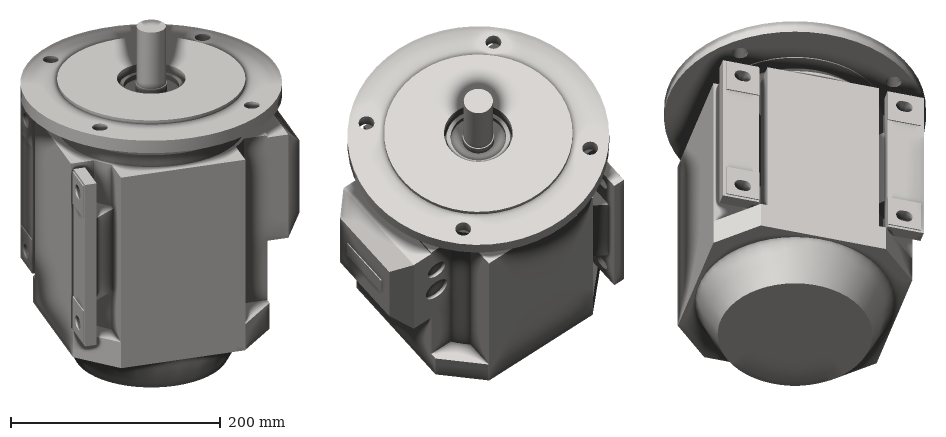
import cadquery as cq

total_height = 348.5
shaft_radius = 14.0
shoulder_radius = 15.0
shoulder_top = 288.2
flange_diameter = 250.0
flange_bottom = 275.3
flange_top = 288.5
spigot_radius = 90.0
spigot_top = 292.7
flange_pad_radius = 88.5
flange_pad_height = 1.0
flange_hole_diameter = 15.0
flange_hole_circle_radius = 107.7
flange_hole_count = 4
flange_hole_start_angle = 45

bore_radius = 32.8
seal_ring_radius = 30.3
seal_ring_top = 285.8
seal_radius = 26.5
seal_floor = 280.5

neck_radius = 53.5
cap_radius = 81.0
cap_fillet = 5.2
cap_bottom = 255.8
cap_top = 270.5
neck_fillet = flange_bottom - flange_pad_height - cap_top
ring_radius = 90.3

frame_half_width = 98.5
frame_bottom = 40.0
frame_top = 243.3
base_top = 67.5
base_chamfer = 36.5
side_block_half_width = 62.5
front_block_half_width = 55.5
core_radius = 93.5

cowl_bottom_radius = 74.0
cowl_top_radius = 95.0

foot_outer_x = 99.5
foot_inner_x = 63.8
foot_back_y = -87.0
foot_bottom = 69.5
foot_top = 241.5
pad_width = 32.8
pad_height = 34.0
pad_thickness = 1.0
pad_margin = 2.5
slot_shift = 3.0
slot_length = 16.5
slot_width = 13.0
web_bottom = 111.5
web_top = 199.0
web_foot_outer_x = 91.3
web_frame_outer_x = 75.0
web_inner_y = -76.5

terminal_bottom = 130.7
terminal_top = 240.8
terminal_shoulder_y = 119.5
terminal_chamfer = 16.7
cover_y = terminal_shoulder_y + terminal_chamfer
plate_width = 53.5
plate_height = 20.2
plate_thickness = 0.87
plate_center_z = 185.5
entry_center_y = 92.5
entry_depth = 3.5
cable_entries = [
    (10.5, 207.7),
    (13.0, 174.0),
]


def disc(radius, bottom, top):
    return cq.Workplane("XY").workplane(offset=bottom).circle(radius).extrude(top - bottom)


def block(x_range, y_range, z_range):
    size = [high - low for low, high in (x_range, y_range, z_range)]
    return cq.Workplane("XY").box(*size, centered=False).translate((x_range[0], y_range[0], z_range[0]))


def centered_block(half_x, half_y, bottom, top):
    return block((-half_x, half_x), (-half_y, half_y), (bottom, top))


def make_frame():
    """Chamfered square base below a round core with two crossing flat-faced blocks."""
    base = centered_block(frame_half_width, frame_half_width, frame_bottom, base_top)
    base = base.edges("|Z").chamfer(base_chamfer)
    side_block = centered_block(frame_half_width, side_block_half_width, frame_bottom, frame_top)
    front_block = centered_block(front_block_half_width, frame_half_width, frame_bottom, frame_top)
    core = disc(core_radius, frame_bottom, frame_top)
    return base.union(side_block).union(front_block).union(core)


def make_cowl():
    profile = [(0, 0), (cowl_bottom_radius, 0), (cowl_top_radius, frame_bottom), (0, frame_bottom)]
    return cq.Workplane("XZ").polyline(profile).close().revolve(360, (0, 0), (0, 1))


def make_end_shield():
    """Ring, rounded cap and filleted neck leading up to the flange."""
    cap = disc(cap_radius, cap_bottom, cap_top).faces(">Z").edges().fillet(cap_fillet)
    neck = disc(neck_radius, cap_top, flange_bottom)
    cap_and_neck = cap.union(neck)
    neck_foot = cap_and_neck.faces(">Z[-2]").edges(cq.selectors.RadiusNthSelector(0))
    cap_and_neck = neck_foot.fillet(neck_fillet)
    return cap_and_neck.union(disc(ring_radius, frame_top, cap_bottom))


def make_flange():
    flange = disc(flange_diameter / 2, flange_bottom, flange_top)
    flange = flange.union(disc(spigot_radius, flange_top, spigot_top))
    flange = flange.union(disc(flange_pad_radius, flange_bottom - flange_pad_height, flange_bottom))
    holes = (
        cq.Workplane("XY")
        .workplane(offset=flange_bottom)
        .polarArray(flange_hole_circle_radius, flange_hole_start_angle, 360, flange_hole_count)
        .circle(flange_hole_diameter / 2)
        .extrude(flange_top - flange_bottom)
    )
    return flange.cut(holes)


def make_bore():
    """Bore around the shaft less the seal ring, as a solid to remove."""
    bore = disc(bore_radius, flange_bottom, spigot_top)
    seal_ring = disc(seal_ring_radius, flange_bottom, seal_ring_top)
    seal_recess = disc(seal_radius, seal_floor, seal_ring_top)
    return bore.cut(seal_ring.cut(seal_recess))


def make_shaft():
    shoulder = disc(shoulder_radius, cap_top, shoulder_top)
    return disc(shaft_radius, cap_top, total_height).union(shoulder)


def make_foot():
    """Foot on the +X side: a bar with two slotted pads, carried by a slanted web."""
    foot = block(
        (foot_inner_x, foot_outer_x),
        (-frame_half_width, foot_back_y),
        (foot_bottom, foot_top),
    )
    pad_x = foot_inner_x + pad_width / 2
    pad_offset = pad_margin + pad_height / 2
    pad_centers = [(pad_x, foot_bottom + pad_offset), (pad_x, foot_top - pad_offset)]
    slot_offset = pad_offset - slot_shift
    slot_centers = [(pad_x, foot_bottom + slot_offset), (pad_x, foot_top - slot_offset)]
    pad_face_y = -frame_half_width - pad_thickness
    pads = (
        cq.Workplane("XZ", origin=(0, -frame_half_width, 0))
        .pushPoints(pad_centers)
        .rect(pad_width, pad_height)
        .extrude(pad_thickness)
    )
    slots = (
        cq.Workplane("XZ", origin=(0, pad_face_y, 0))
        .pushPoints(slot_centers)
        .slot2D(slot_length, slot_width)
        .extrude(pad_face_y - foot_back_y)
    )
    web_outline = [
        (foot_inner_x, foot_back_y),
        (web_foot_outer_x, foot_back_y),
        (web_frame_outer_x, -side_block_half_width),
        (front_block_half_width, -side_block_half_width),
        (front_block_half_width, web_inner_y),
    ]
    web = (
        cq.Workplane("XY")
        .workplane(offset=web_bottom)
        .polyline(web_outline)
        .close()
        .extrude(web_top - web_bottom)
    )
    return foot.union(pads).cut(slots).union(web)


def make_terminal_box():
    """Box on the +Y side with a chamfered cover and a raised plate."""
    box = block(
        (-front_block_half_width, front_block_half_width),
        (0, cover_y),
        (terminal_bottom, terminal_top),
    )
    box = box.faces(">Y").edges().chamfer(terminal_chamfer)
    plate = block(
        (-plate_width / 2, plate_width / 2),
        (cover_y, cover_y + plate_thickness),
        (plate_center_z - plate_height / 2, plate_center_z + plate_height / 2),
    )
    return box.union(plate)


def make_cable_entry(radius, height):
    """Shallow round recess in the -X wall of the terminal box, as a solid to remove."""
    wall = cq.Workplane("YZ", origin=(-front_block_half_width, entry_center_y, height))
    return wall.circle(radius).extrude(entry_depth)


right_foot = make_foot()
left_foot = right_foot.mirror("YZ")

motor = make_frame().union(make_cowl()).union(make_terminal_box())
motor = motor.union(make_end_shield()).union(make_flange())
motor = motor.cut(make_bore()).union(make_shaft())
motor = motor.union(right_foot).union(left_foot)
for entry_radius, entry_height in cable_entries:
    motor = motor.cut(make_cable_entry(entry_radius, entry_height))

result = motor